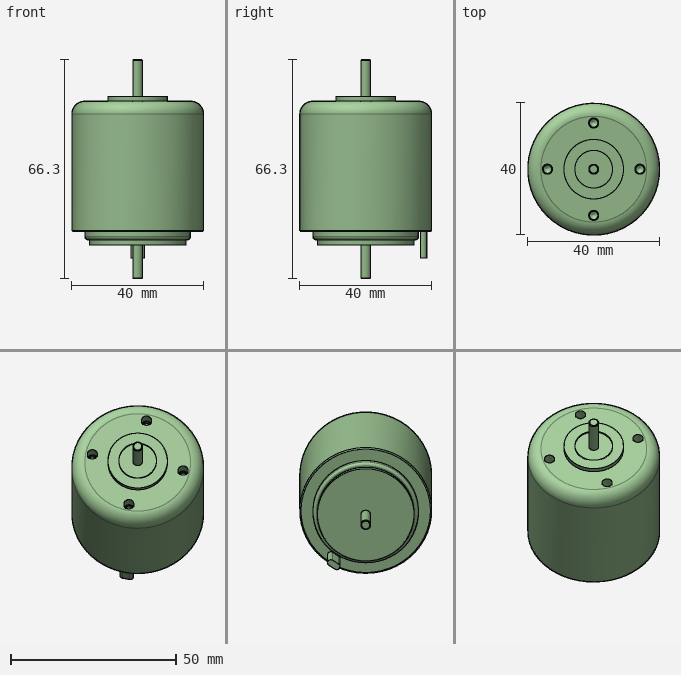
import cadquery as cq
import math

shaft_length = 66.3
shaft_diameter = 3.0
shaft_radius = shaft_diameter / 2
shaft_chamfer = 0.25
shaft_bottom = -shaft_length / 2

collar_bottom = -23.0
collar_height = 1.6
step_height = 2.5
can_height = 39.5
boss_height = 1.45
step_bottom = collar_bottom + collar_height
can_bottom = step_bottom + step_height
can_top = can_bottom + can_height

can_diameter = 40.0
can_radius = can_diameter / 2
can_top_fillet = 4.0
can_bottom_chamfer = 0.4
step_radius = 16.0
step_fillet = 1.0
collar_radius = 14.65
boss_radius = 9.0
recess_radius = 5.7
recess_depth = 0.4

hole_count = 4
hole_circle_radius = 14.0
hole_radius = 1.5
hole_depth = 4.0
pilot_radius = 1.25
pilot_depth = 5.0
pilot_tip_angle = 118
pilot_tip_height = pilot_radius / math.tan(math.radians(pilot_tip_angle / 2))

terminal_width = 4.2
terminal_thickness = 2.0
terminal_length = 8.0
terminal_y = 17.5


def disc(radius, bottom, height):
    """Solid disc on the Z axis."""
    return cq.Workplane("XY").workplane(offset=bottom).circle(radius).extrude(height)


def make_mounting_hole():
    """Hole with a narrower, cone-ended pilot hole below it, on the Z axis, as a cutting tool."""
    hole_bottom = can_top - hole_depth
    pilot_bottom = can_top - pilot_depth
    return (
        cq.Workplane("XZ")
        .moveTo(0, can_top)
        .lineTo(hole_radius, can_top)
        .lineTo(hole_radius, hole_bottom)
        .lineTo(pilot_radius, hole_bottom)
        .lineTo(pilot_radius, pilot_bottom)
        .lineTo(0, pilot_bottom - pilot_tip_height)
        .close()
        .revolve(360, (0, 0, 0), (0, 1, 0))
    )


def make_housing():
    """Can with a top boss, two bottom steps, mounting holes and a shaft bore."""
    can = disc(can_radius, can_bottom, can_height)
    can = can.faces(">Z").edges().fillet(can_top_fillet)
    can = can.faces("<Z").edges().chamfer(can_bottom_chamfer)
    step = disc(step_radius, step_bottom, step_height).faces("<Z").edges().fillet(step_fillet)
    collar = disc(collar_radius, collar_bottom, collar_height)
    boss = disc(boss_radius, can_top, boss_height)
    recess = disc(recess_radius, can_top + boss_height - recess_depth, recess_depth)
    shaft_bore = disc(shaft_radius, shaft_bottom, shaft_length)
    body = can.union(step).union(collar).union(boss).cut(recess).cut(shaft_bore)

    hole = make_mounting_hole()
    for index in range(hole_count):
        angle = index * 360 / hole_count
        placed_hole = hole.translate((hole_circle_radius, 0, 0)).rotate((0, 0, 0), (0, 0, 1), angle)
        body = body.cut(placed_hole)
    return body


def make_shaft():
    """Round shaft with both ends chamfered."""
    return disc(shaft_radius, shaft_bottom, shaft_length).faces("<Z or >Z").edges().chamfer(shaft_chamfer)


def make_terminal():
    """Flat terminal whose ends along X are half round."""
    return (
        cq.Workplane("XY")
        .workplane(offset=can_bottom)
        .center(0, terminal_y)
        .slot2D(terminal_width, terminal_thickness)
        .extrude(-terminal_length)
    )


housing = make_housing()
shaft = make_shaft()
terminal = make_terminal()

result = cq.Compound.makeCompound([housing.val(), shaft.val(), terminal.val()])